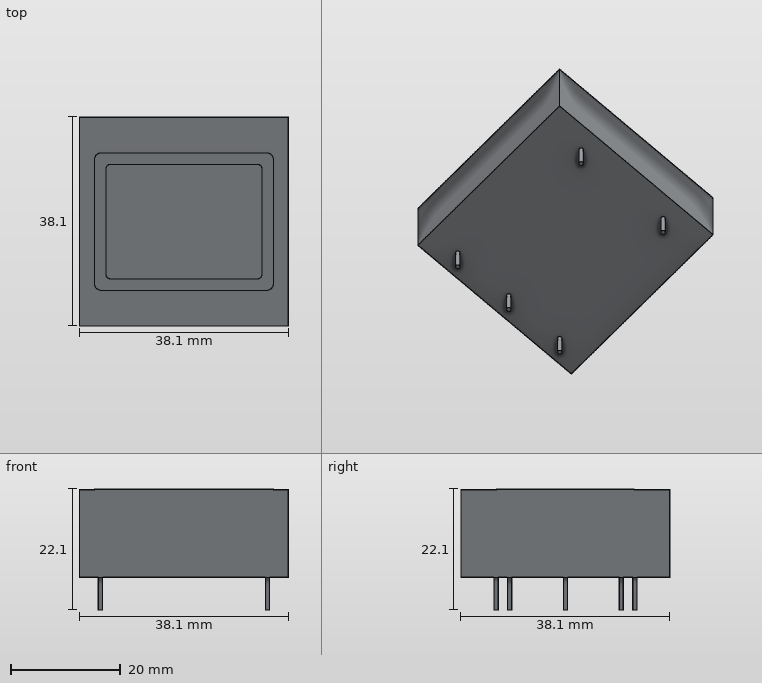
import cadquery as cq

HOUSING_SIDE = 38.1
HOUSING_HEIGHT = 16.0

COVER_THICKNESS = 0.1
FRAME_LENGTH = 32.6
FRAME_WIDTH = 25.07
FRAME_CORNER_RADIUS = 1.22
FRAME_BORDER = 2.1
PANEL_LENGTH = FRAME_LENGTH - 2 * FRAME_BORDER
PANEL_WIDTH = FRAME_WIDTH - 2 * FRAME_BORDER
PANEL_CORNER_RADIUS = 0.8

OVERALL_HEIGHT = 22.1
PIN_DIAMETER = 0.8
PIN_LENGTH = OVERALL_HEIGHT - HOUSING_HEIGHT - COVER_THICKNESS
PIN_ROW_X = 15.25
PAIR_PIN_Y = 10.17
OUTER_PIN_Y = 12.65
PIN_POSITIONS = [
    (-PIN_ROW_X, -PAIR_PIN_Y),
    (-PIN_ROW_X, PAIR_PIN_Y),
    (PIN_ROW_X, -OUTER_PIN_Y),
    (PIN_ROW_X, 0),
    (PIN_ROW_X, OUTER_PIN_Y),
]


def make_housing():
    """Plain square block."""
    return cq.Workplane("XY").rect(HOUSING_SIDE, HOUSING_SIDE).extrude(HOUSING_HEIGHT)


def make_rounded_plate(length, width, corner_radius):
    """Cover-thickness plate with rounded corners, lying on the housing top."""
    return (
        cq.Workplane("XY", origin=(0, 0, HOUSING_HEIGHT))
        .rect(length, width)
        .extrude(COVER_THICKNESS)
        .edges("|Z")
        .fillet(corner_radius)
    )


def make_panel():
    """Inner plate that fills the frame opening."""
    return make_rounded_plate(PANEL_LENGTH, PANEL_WIDTH, PANEL_CORNER_RADIUS)


def make_frame():
    """Outer plate with an opening that matches the panel."""
    return make_rounded_plate(FRAME_LENGTH, FRAME_WIDTH, FRAME_CORNER_RADIUS).cut(make_panel())


def make_pin(x, y):
    """Round pin hanging from the housing underside."""
    return cq.Workplane("XY", origin=(x, y, 0)).circle(PIN_DIAMETER / 2).extrude(-PIN_LENGTH)


housing = make_housing()
frame = make_frame()
panel = make_panel()
pins = [make_pin(x, y).val() for x, y in PIN_POSITIONS]

result = cq.Compound.makeCompound([housing.val(), frame.val(), panel.val(), *pins])